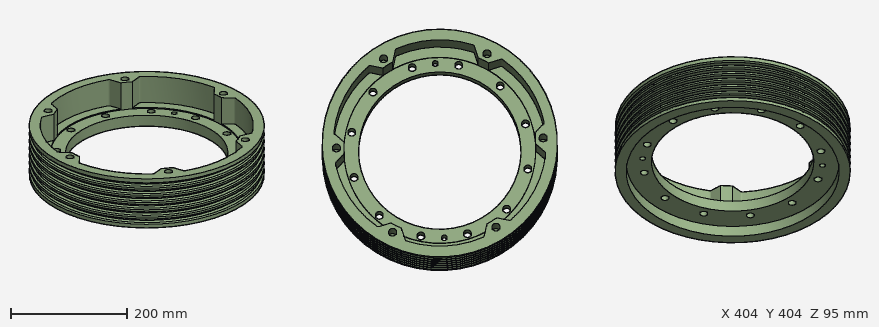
import cadquery as cq
import math

outer_radius = 202.0
height = 95.0
bore_radius = 139.5

flange_bottom = 21.0
flange_top = 42.5
ledge_level = 44.5
seat_radius = 165.0
pocket_radius = 183.0

boss_count = 6
boss_face_half_width = 10.0
boss_flank_start = math.sqrt(seat_radius**2 - boss_face_half_width**2)
boss_flank_angle = 45.0
pocket_corner_radius = 4.0

boss_hole_circle_radius = 177.8
boss_hole_diameter = 13.7
boss_hole_depth = 36.5
drill_tip_angle = 118.0

flange_hole_circle_radius = 154.7
bolt_hole_count = 12
bolt_hole_diameter = 13.5
dowel_hole_count = 2
dowel_hole_diameter = 9.5
dowel_hole_angle = 120.0

groove_count = 6
groove_span = 70.0
groove_pitch = groove_span / (groove_count - 1)
first_groove_center = 12.0
groove_floor_radius = 191.0
groove_floor_width = 6.0
groove_neck_width = 7.0
groove_mouth_width = 9.5
groove_flare_depth = 3.5


def points_on_circle(radius, count, first_angle):
    """Equally spaced points on a circle about the ring axis."""
    angles = [math.radians(first_angle + i * 360.0 / count) for i in range(count)]
    return [(radius * math.cos(a), radius * math.sin(a)) for a in angles]


def disc(radius, bottom, top):
    return cq.Workplane("XY").workplane(offset=bottom).circle(radius).extrude(top - bottom)


def boss():
    """Trapezoidal boss on the +Y side, widening outwards past the pocket wall."""
    reach = outer_radius - boss_flank_start
    outer_half_width = boss_face_half_width + reach * math.tan(math.radians(boss_flank_angle))
    return (
        cq.Workplane("XY")
        .workplane(offset=ledge_level)
        .moveTo(-boss_face_half_width, boss_flank_start)
        .lineTo(boss_face_half_width, boss_flank_start)
        .lineTo(outer_half_width, outer_radius)
        .lineTo(-outer_half_width, outer_radius)
        .close()
        .extrude(height - ledge_level)
    )


def upper_pockets():
    """Arc-shaped pockets between the bosses, with rounded outer corners."""
    pockets = disc(pocket_radius, ledge_level, height).cut(disc(seat_radius, ledge_level, height))
    for i in range(boss_count):
        pockets = pockets.cut(boss().rotate((0, 0, 0), (0, 0, 1), i * 360.0 / boss_count))
    corner_edges = pockets.edges("|Z").filter(
        lambda edge: math.hypot(edge.Center().x, edge.Center().y) > (seat_radius + pocket_radius) / 2
    )
    return corner_edges.fillet(pocket_corner_radius)


def groove(center):
    """Groove with slightly tapered walls and a wider flare at its mouth."""
    flare_radius = outer_radius - groove_flare_depth
    half_floor = groove_floor_width / 2
    half_neck = groove_neck_width / 2
    half_mouth = groove_mouth_width / 2
    return (
        cq.Workplane("XZ")
        .moveTo(groove_floor_radius, center - half_floor)
        .lineTo(flare_radius, center - half_neck)
        .lineTo(outer_radius, center - half_mouth)
        .lineTo(outer_radius, center + half_mouth)
        .lineTo(flare_radius, center + half_neck)
        .lineTo(groove_floor_radius, center + half_floor)
        .close()
        .revolve(360, (0, 0, 0), (0, 1, 0))
    )


def boss_holes():
    """Blind holes drilled from the top face, each ending in a drill point."""
    radius = boss_hole_diameter / 2
    tip_height = radius / math.tan(math.radians(drill_tip_angle / 2))
    drill = (
        cq.Workplane("XZ")
        .moveTo(0, height)
        .lineTo(radius, height)
        .lineTo(radius, height - boss_hole_depth)
        .lineTo(0, height - boss_hole_depth - tip_height)
        .close()
        .revolve(360, (0, 0, 0), (0, 1, 0))
    )
    centers = points_on_circle(boss_hole_circle_radius, boss_count, 90.0)
    return [drill.translate((x, y, 0)) for x, y in centers]


def flange_holes(diameter, count, first_angle):
    return (
        cq.Workplane("XY")
        .workplane(offset=flange_bottom)
        .pushPoints(points_on_circle(flange_hole_circle_radius, count, first_angle))
        .circle(diameter / 2)
        .extrude(flange_top - flange_bottom)
    )


result = disc(outer_radius, 0, height)
result = result.cut(disc(bore_radius, 0, height))
result = result.cut(disc(seat_radius, flange_top, height))
result = result.cut(disc(pocket_radius, 0, flange_bottom))
result = result.cut(upper_pockets())

for i in range(groove_count):
    result = result.cut(groove(first_groove_center + i * groove_pitch))

for hole in boss_holes():
    result = result.cut(hole)

half_bolt_step = 180.0 / bolt_hole_count
result = result.cut(flange_holes(bolt_hole_diameter, bolt_hole_count, half_bolt_step))
result = result.cut(flange_holes(dowel_hole_diameter, dowel_hole_count, dowel_hole_angle))